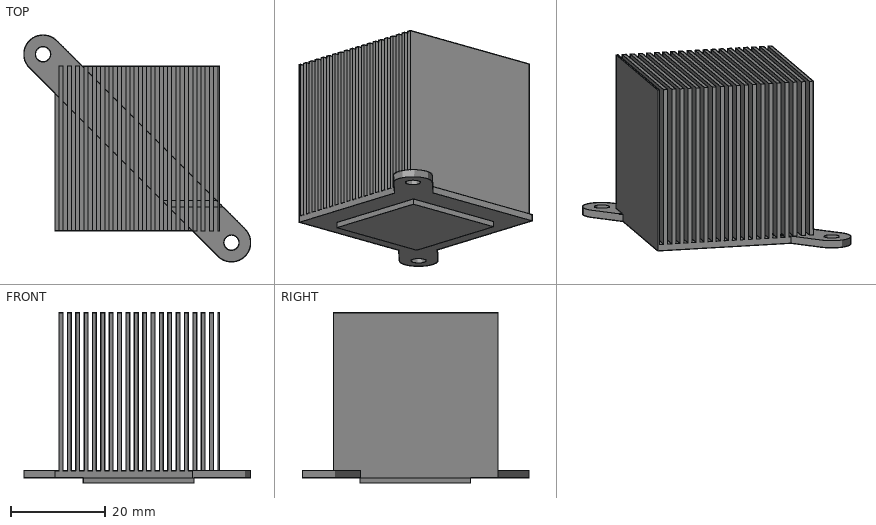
import cadquery as cq
import math

overall_span = 48.25
overall_height = 36.2

body_side = 35.0
pad_side = 23.55
pad_center_x = 0.3
pad_center_y = -0.1
pad_thickness = 1.15
base_thickness = 1.4
base_bottom = pad_thickness
base_top = base_bottom + base_thickness

fin_count = 20
fin_thickness = 0.85
last_fin_thickness = 0.4
first_fin_offset = 0.85
fin_pitch = (body_side - first_fin_offset - last_fin_thickness) / (fin_count - 1)

strap_thickness = 1.6
strap_angle = -45
strap_top = base_bottom + strap_thickness
ear_radius = 4.1
ear_hole_diameter = 3.2
ear_offset = overall_span / 2 - ear_radius
hole_centers = [(-ear_offset, ear_offset), (ear_offset, -ear_offset)]

groove_width = 1.35
groove_depth = 0.1
groove_center_y = -11.75


def plate(length_x, length_y, bottom, top):
    """Rectangular plate centered on the Z axis between two heights."""
    return (
        cq.Workplane("XY")
        .workplane(offset=bottom)
        .rect(length_x, length_y)
        .extrude(top - bottom)
    )


def make_strap():
    """Slot-shaped strap along the (-X, +Y) to (+X, -Y) diagonal, with its groove and ear holes."""
    hole_spacing = 2 * math.hypot(ear_offset, ear_offset)
    strap = (
        cq.Workplane("XY")
        .workplane(offset=base_bottom)
        .slot2D(hole_spacing + 2 * ear_radius, 2 * ear_radius, angle=strap_angle)
        .extrude(strap_thickness)
    )
    groove = plate(overall_span, groove_width, strap_top - groove_depth, strap_top)
    holes = (
        cq.Workplane("XY")
        .workplane(offset=base_bottom)
        .pushPoints(hole_centers)
        .circle(ear_hole_diameter / 2)
        .extrude(strap_thickness)
    )
    return strap.cut(groove.translate((0, groove_center_y, 0))).cut(holes)


def make_fin(index):
    """One fin, standing on the base plate and ending at the +X side of the body."""
    left = first_fin_offset + index * fin_pitch - body_side / 2
    right = min(left + fin_thickness, body_side / 2)
    fin = plate(right - left, body_side, base_bottom, overall_height)
    return fin.translate(((left + right) / 2, 0, 0))


pad = plate(pad_side, pad_side, 0, base_bottom)
result = pad.translate((pad_center_x, pad_center_y, 0))
result = result.union(plate(body_side, body_side, base_bottom, base_top))
result = result.union(make_strap())
for fin_index in range(fin_count):
    result = result.union(make_fin(fin_index))